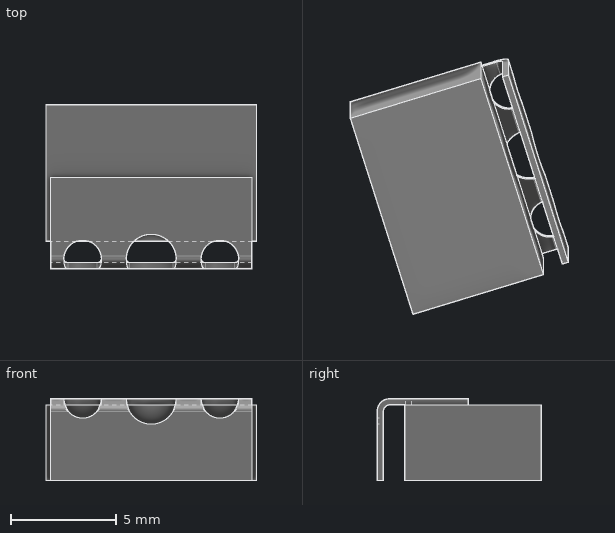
import cadquery as cq
import math

block_width = 10.0
block_depth = 6.5
block_height = 3.6

cover_width = 9.55
sheet_thickness = 0.3
front_gap = 1.0
plate_overlap = 3.03

inner_bend_radius = 0.3
outer_bend_radius = inner_bend_radius + sheet_thickness
middle_bend_radius = inner_bend_radius + sheet_thickness / 2
bend_length = middle_bend_radius * math.pi / 2
flange_back = -front_gap
bend_axis_y = flange_back + inner_bend_radius
bend_axis_z = block_height - inner_bend_radius

small_opening_radius = 0.89
large_opening_radius = 1.18
small_opening_offset = 3.26
opening_advance = 0.14
openings = [
    (-small_opening_offset, small_opening_radius),
    (0.0, large_opening_radius),
    (small_opening_offset, small_opening_radius),
]

bend_cut_margin = 0.1
bend_cut_sections = 9


def make_block():
    return cq.Workplane("XY").box(block_width, block_depth, block_height, centered=(True, False, False))


def make_plate():
    """Flat top of the cover, behind the bend."""
    plate = (
        cq.Workplane("XY", origin=(0, bend_axis_y, block_height))
        .box(cover_width, plate_overlap - bend_axis_y, sheet_thickness, centered=(True, False, False))
    )
    for centre_x, radius in openings:
        cutter = (
            cq.Workplane("XY", origin=(centre_x, bend_axis_y - opening_advance, block_height))
            .circle(radius)
            .extrude(sheet_thickness)
        )
        plate = plate.cut(cutter)
    return plate


def make_flange():
    """Flat front of the cover, below the bend."""
    flange = (
        cq.Workplane("XY", origin=(0, flange_back - sheet_thickness, 0))
        .box(cover_width, sheet_thickness, bend_axis_z, centered=(True, False, False))
    )
    centre_z = bend_axis_z + bend_length - opening_advance
    for centre_x, radius in openings:
        cutter = (
            cq.Workplane("XZ", origin=(centre_x, flange_back, centre_z))
            .circle(radius)
            .extrude(sheet_thickness)
        )
        flange = flange.cut(cutter)
    return flange


def bend_section(centre_x, radius, angle):
    """Radial rectangle as wide as the folded opening at this angle from the top of the bend."""
    half_width = math.sqrt(radius**2 - (middle_bend_radius * angle - opening_advance) ** 2)
    near = inner_bend_radius - bend_cut_margin
    far = outer_bend_radius + bend_cut_margin
    corners = [(-half_width, near), (half_width, near), (half_width, far), (-half_width, far)]
    points = [
        cq.Vector(
            centre_x + x,
            bend_axis_y - distance * math.sin(angle),
            bend_axis_z + distance * math.cos(angle),
        )
        for x, distance in corners
    ]
    return cq.Wire.makePolygon(points, close=True)


def make_bend():
    """Quarter-round bend between plate and flange, with the folded openings."""
    outer_offset = outer_bend_radius * math.sqrt(0.5)
    inner_offset = inner_bend_radius * math.sqrt(0.5)
    bend = (
        cq.Workplane("YZ", origin=(-cover_width / 2, bend_axis_y, bend_axis_z))
        .moveTo(0, inner_bend_radius)
        .lineTo(0, outer_bend_radius)
        .threePointArc((-outer_offset, outer_offset), (-outer_bend_radius, 0))
        .lineTo(-inner_bend_radius, 0)
        .threePointArc((-inner_offset, inner_offset), (0, inner_bend_radius))
        .close()
        .extrude(cover_width)
    )
    angle_step = math.pi / 2 / (bend_cut_sections - 1)
    for centre_x, radius in openings:
        sections = [bend_section(centre_x, radius, i * angle_step) for i in range(bend_cut_sections)]
        bend = bend.cut(cq.Workplane(cq.Solid.makeLoft(sections)))
    return bend


result = make_block().union(make_plate()).union(make_bend()).union(make_flange())